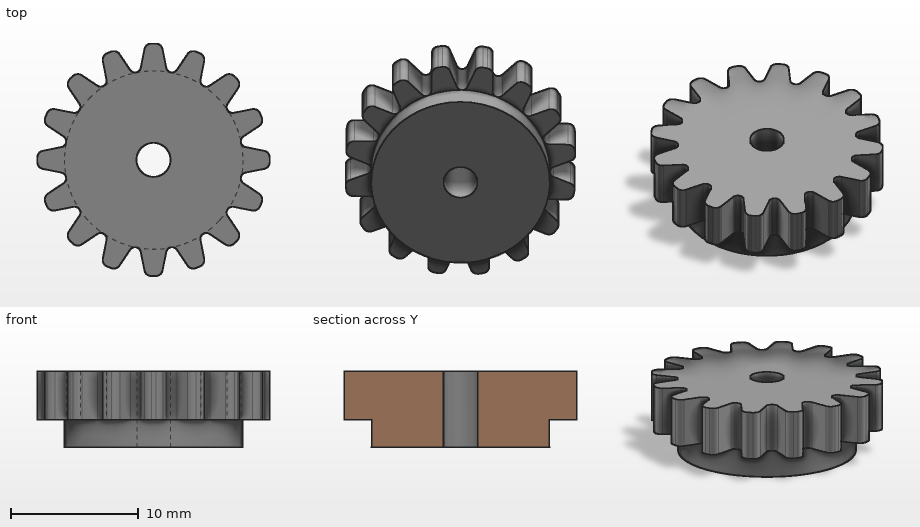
import cadquery as cq
import math

outer_diameter = 18.21
root_diameter = 13.97
hub_diameter = root_diameter
bore_diameter = 2.65
total_height = 5.97
gear_height = 3.81
hub_height = total_height - gear_height

tooth_count = 16
tip_corner_radius = 0.56
root_radius = 0.455

half_pitch = math.pi / tooth_count
flank_lean = half_pitch
outer_radius = outer_diameter / 2
root_center_distance = root_diameter / 2 + root_radius


def polar(radius, angle):
    """Point at a radius and angle from the gear axis."""
    return (radius * math.cos(angle), radius * math.sin(angle))


def shifted(point, distance, direction):
    """Move a point a distance along a direction angle."""
    step = polar(distance, direction)
    return (point[0] + step[0], point[1] + step[1])


def turned(point, angle):
    """Rotate a point about the gear axis."""
    return polar(math.hypot(*point), math.atan2(point[1], point[0]) + angle)


def mirrored(point):
    """Reflect a point across the axis of the tooth that lies on +X."""
    return (point[0], -point[1])


root_center = polar(root_center_distance, half_pitch)
root_bottom = polar(root_diameter / 2, half_pitch)

flank_normal = math.pi / 2 - flank_lean
root_start = shifted(root_center, -root_radius, flank_normal)

flank_offset = root_center_distance * math.cos(flank_normal - half_pitch) - root_radius
corner_offset = flank_offset - tip_corner_radius
corner_distance = outer_radius - tip_corner_radius
corner_angle = flank_normal - math.acos(corner_offset / corner_distance)
corner_center = polar(corner_distance, corner_angle)
tip_end = polar(outer_radius, corner_angle)
flank_top = shifted(corner_center, tip_corner_radius, flank_normal)
corner_middle = shifted(corner_center, tip_corner_radius, (corner_angle + flank_normal) / 2)


def make_gear():
    outline = cq.Workplane("XY").workplane(offset=hub_height).moveTo(*mirrored(root_start))
    for tooth in range(tooth_count):
        angle = 2 * half_pitch * tooth
        next_angle = angle + 2 * half_pitch
        outline = (
            outline.lineTo(*turned(mirrored(flank_top), angle))
            .threePointArc(turned(mirrored(corner_middle), angle), turned(mirrored(tip_end), angle))
            .threePointArc(polar(outer_radius, angle), turned(tip_end, angle))
            .threePointArc(turned(corner_middle, angle), turned(flank_top, angle))
            .lineTo(*turned(root_start, angle))
            .threePointArc(turned(root_bottom, angle), turned(mirrored(root_start), next_angle))
        )
    return outline.close().extrude(gear_height)


def make_hub():
    return cq.Workplane("XY").circle(hub_diameter / 2).extrude(hub_height)


def make_bore():
    return cq.Workplane("XY").circle(bore_diameter / 2).extrude(total_height)


result = make_gear().union(make_hub()).cut(make_bore())